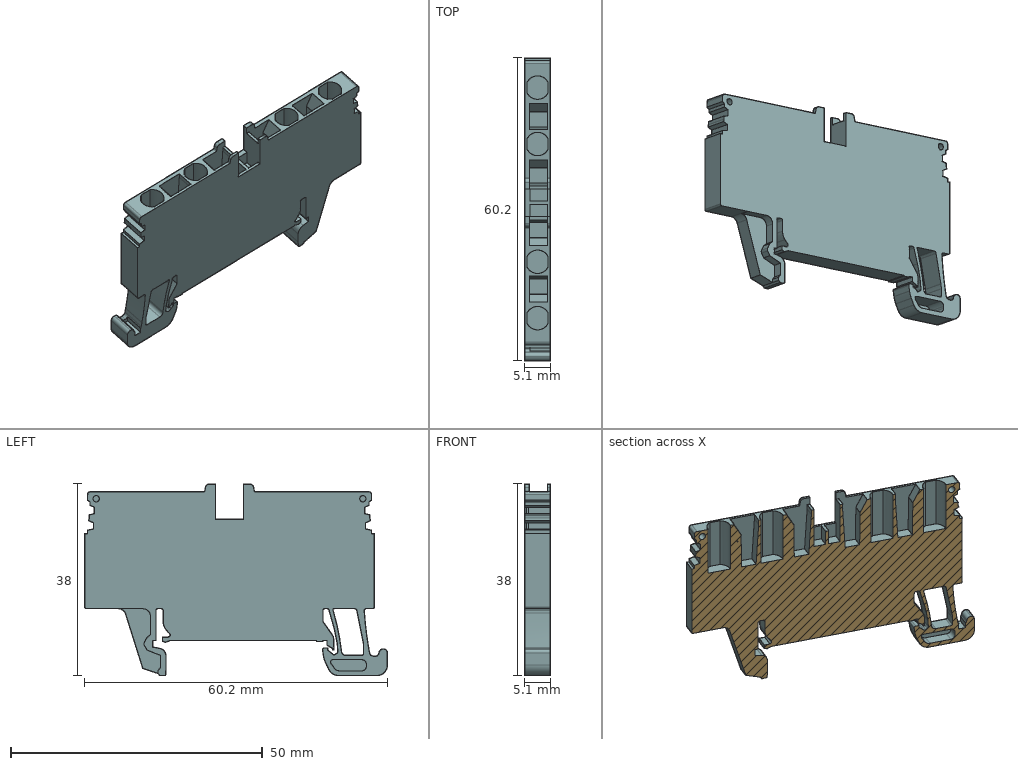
import cadquery as cq
import math


width = 5.1
total_height = 38.05
half_length = 28.78
top_z = 36.55
underside_z = 13.3
rail_z = 6.95
total_length = 60.15
foot_end_y = half_length - total_length
corner_r = 0.35

left_x = -width / 2
chamber_left_x = -1.65
chamber_right_x = 1.97
inner_wall_x = -1.47

slot_half = 2.75
slot_floor_z = 31.1
floor_rib_half = 0.34
floor_pocket_depth = 3.0

opening_pitch = 11.2
opening_depth = 10.0
round_y = 11.7
round_diameter = 4.65
round_flat_width = 4.1
chamber_inner_y = 3.36
chamber_length = 5.15
chamber_outer_slope = (1.52, 2.7)
chamber_inner_drop = 1.0
chamber_inner_lean = 0.55
chamber_outer_draft = 0.1

pin_hole_diameter = 1.25
pin_hole_y = 26.48
pin_hole_z = 35.15
blind_depth = chamber_right_x - left_x

nick_x = (-2.2, -1.8)
nick_depth = 0.15
nick_notches = ((26.9, 32.2, 33.45), (27.05, 29.17, 30.35))

clip_recess_depth = 2.0
groove_y = (-29.4, -28.0)
groove_floor_z = 3.0
groove_height = 2.0


def rounded_outline(corners):
    """Closed wire in the YZ plane; a third value on a corner is its rounding radius."""
    count = len(corners)
    path = []
    for i, corner in enumerate(corners):
        here = cq.Vector(corner[0], corner[1])
        if len(corner) == 2:
            path.append((here,))
            continue
        radius = corner[2]
        previous = corners[i - 1]
        following = corners[(i + 1) % count]
        back = (cq.Vector(previous[0], previous[1]) - here).normalized()
        ahead = (cq.Vector(following[0], following[1]) - here).normalized()
        half_angle = back.getAngle(ahead) / 2
        setback = radius / math.tan(half_angle)
        arc_gap = radius / math.sin(half_angle) - radius
        middle = here + (back + ahead).normalized() * arc_gap
        path.append((here + back * setback, middle, here + ahead * setback))

    sketch = cq.Workplane("YZ", origin=(left_x, 0, 0)).moveTo(*path[0][-1].toTuple()[:2])
    for step in path[1:] + path[:1]:
        sketch = sketch.lineTo(*step[0].toTuple()[:2])
        if len(step) == 3:
            sketch = sketch.threePointArc(step[1].toTuple()[:2], step[2].toTuple()[:2])
    return sketch.close()


def mirrored(corners):
    """The same corners on the other side of Y = 0, in reverse order."""
    return [(-corner[0], *corner[1:]) for corner in reversed(corners)]


def box(x_range, y_range, z_range):
    size = [high - low for low, high in (x_range, y_range, z_range)]
    return cq.Workplane("XY", origin=(x_range[0], y_range[0], z_range[0])).box(*size, centered=False)


upper_half = [
    (slot_half, slot_floor_z),
    (slot_half, total_height),
    (4.7, total_height, 0.75),
    (4.95, top_z, 0.15),
    (28.2, top_z, 0.55),
    (28.25, 34.9),
    (27.75, 34.5),
    (27.75, 33.85),
    (26.9, 33.45),
    (26.9, 32.2),
    (27.9, 31.95),
    (27.9, 31.3),
    (28.0, 30.8),
    (27.05, 30.35),
    (27.05, 29.17),
    (28.25, 28.9),
    (28.25, 28.2),
    (half_length, 28.2),
    (half_length, underside_z, corner_r),
]

clip_tip = (14.19, 0.4)
rear_clip = [
    (21.0, underside_z, 1.5),
    (17.25, 1.44),
    clip_tip,
    (13.85, 0),
    (12.66, 0, 0.3),
    (12.6, 1.5),
    (12.6, 5.2, 1.6),
    (15.25, 5.7),
    (15.25, 6.94),
    (14.6, 6.94),
    (14.6, underside_z, corner_r),
    (13.21, underside_z, corner_r),
]

rail_seat = [
    (13.21, 9.8, 2.5),
    (11.7, 8.05, 0.2),
    (12.15, 7.68),
    (13.35, 7.68),
    (13.35, 6.85),
    (12.76, 6.6),
    (11.8, rail_z),
    (-17.24, rail_z),
    (-17.24, 6.78),
    (-18.55, 6.78),
    (-18.55, rail_z),
    (-19.33, rail_z),
    (-19.33, 6.05),
    (-20.47, 5.4),
    (-20.47, 5.13),
    (-20.77, 5.13),
    (-20.7, 7.7, 1.5),
    (-18.59, 10.75),
    (-18.59, underside_z, corner_r),
]

spring_foot = [
    (-19.66, underside_z, corner_r),
    (-20.82, 9.2, 18),
    (-21.37, 6.4, 3),
    (-21.5, 4.6, 0.4),
    (-20.75, 4.1, 0.3),
    (-19.56, 5.07),
    (-19.56, 5.5),
    (-18.4, 5.5, 0.35),
    (-18.75, 3.2, 5),
    (-20.3, 0, 2.2),
    (foot_end_y, 0, 2.1),
    (foot_end_y, 5.32, 0.8),
    (-29.85, 5.32, 0.88),
    (-29.5, 3.9, 0.6),
    (-27.95, 3.9, 0.8),
    (-27.05, 9.0, 65),
    (-26.76, underside_z, corner_r),
]

leg_window = [
    (-20.5, underside_z, 0.2),
    (-21.8, 8.7, 48),
    (-22.35, 4.06, 0.8),
    (-26.6, 4.06, 0.3),
    (-26.6, 6.3, 5),
    (-25.2, underside_z, 0.5),
]
sole_recess = [
    (-20.1, 3.17, 0.35),
    (-27.18, 3.17, 0.9),
    (-27.18, 0.96, 0.9),
    (-21.2, 0.96, 1.2),
    (-20.1, 2.5, 0.2),
]

clip_recess = [
    (21.9, underside_z),
    (15.71, underside_z, 1.5),
    (15.71, 8.15),
    (16.4, 7.6),
    (17.1, 6.3, 0.6),
    (16.4, 5.1),
    (13.73, 4.03),
    (13.73, 1.6),
    (14.19, 1.05),
    clip_tip,
    (clip_tip[0], 0),
    (17.25, 0),
]


def housing():
    outline = upper_half + rear_clip + rail_seat + spring_foot + mirrored(upper_half)
    return rounded_outline(outline).extrude(width)


def round_opening(y):
    """Vertical blind hole with flats on both sides."""
    hole = cq.Workplane("XY", origin=(0, y, top_z)).circle(round_diameter / 2).extrude(-opening_depth)
    half_flat = round_flat_width / 2
    half_round = round_diameter / 2
    bounds = box((-half_flat, half_flat), (y - half_round, y + half_round), (top_z - opening_depth, top_z))
    return hole.intersect(bounds)


def wire_chamber(inner_y, side):
    """Funnel with sloping ends; side is +1 or -1 along Y. It stays open above the top."""
    outer_y = inner_y + chamber_length
    outer_run, outer_drop = chamber_outer_slope
    floor_z = top_z - opening_depth
    corners = [
        (inner_y, total_height),
        (inner_y, top_z - chamber_inner_drop),
        (inner_y + chamber_inner_lean, floor_z),
        (outer_y - outer_run - chamber_outer_draft, floor_z),
        (outer_y - outer_run, top_z - outer_drop),
        (outer_y, top_z),
        (outer_y, total_height),
    ]
    points = [(side * y, z) for y, z in corners]
    chamber = cq.Workplane("YZ", origin=(chamber_left_x, 0, 0)).polyline(points).close()
    return chamber.extrude(chamber_right_x - chamber_left_x)


def cut_top_openings(part):
    for side in (1, -1):
        for index in range(2):
            offset = index * opening_pitch
            part = part.cut(round_opening(side * (round_y + offset)))
            part = part.cut(wire_chamber(chamber_inner_y + offset, side))
    ear_gap = box(
        (chamber_left_x, chamber_right_x),
        (-chamber_inner_y, chamber_inner_y),
        (top_z, total_height),
    )
    return part.cut(ear_gap)


def cut_slot_floor_pockets(part):
    z_range = (slot_floor_z - floor_pocket_depth, slot_floor_z)
    for y_range in ((floor_rib_half, slot_half), (-slot_half, -floor_rib_half)):
        part = part.cut(box((inner_wall_x, chamber_right_x), y_range, z_range))
    return part


def cut_pin_holes(part):
    pins = (
        cq.Workplane("YZ", origin=(left_x, 0, 0))
        .pushPoints([(-pin_hole_y, pin_hole_z), (pin_hole_y, pin_hole_z)])
        .circle(pin_hole_diameter / 2)
        .extrude(blind_depth)
    )
    return part.cut(pins)


def cut_notch_nicks(part):
    for floor_y, bottom_z, notch_top_z in nick_notches:
        part = part.cut(box(nick_x, (-floor_y, nick_depth - floor_y), (bottom_z, notch_top_z)))
    return part


def cut_clips(part):
    part = part.cut(rounded_outline(leg_window).extrude(width))
    part = part.cut(rounded_outline(sole_recess).extrude(blind_depth))
    part = part.cut(rounded_outline(clip_recess).extrude(clip_recess_depth))
    groove_top_z = groove_floor_z + groove_height
    return part.cut(box((inner_wall_x, width / 2), groove_y, (groove_floor_z, groove_top_z)))


result = housing()
result = cut_top_openings(result)
result = cut_slot_floor_pockets(result)
result = cut_pin_holes(result)
result = cut_notch_nicks(result)
result = cut_clips(result)